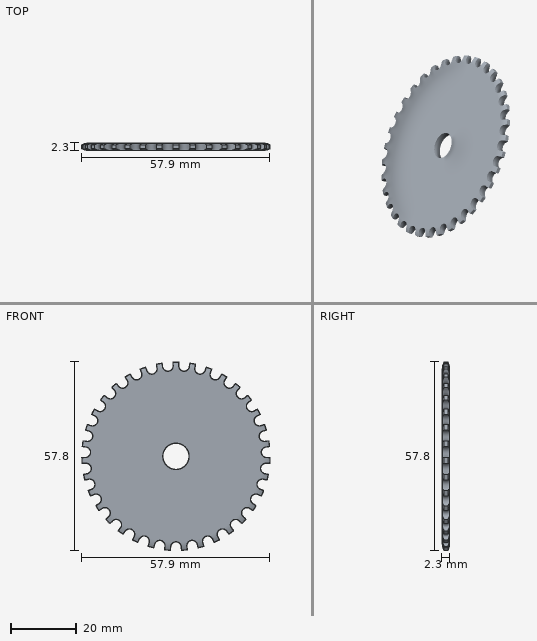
import cadquery as cq
import math


tooth_count = 35
chain_pitch = 5.0
roller_diameter = 3.2
thickness = 2.3
bore_diameter = 8.0
tip_radius = 28.95
flank_radius = 5.0
face_radius = 26.6
tooth_side_radius = 5.0

roller_radius = roller_diameter / 2
half_thickness = thickness / 2
half_tooth_angle = 180 / tooth_count
pitch_radius = chain_pitch / (2 * math.sin(math.radians(half_tooth_angle)))
cutter_overrun = 0.5
cutter_height = tip_radius + cutter_overrun - pitch_radius


def arc_drop(radius, distance):
    """How far an arc falls away from its tangent at a distance along that tangent."""
    return radius - math.sqrt(radius**2 - distance**2)


def make_blank():
    """Toothless disc with bore, revolved from its upper half section."""
    tip_depth = tip_radius - face_radius
    half_tip_width = half_thickness - arc_drop(tooth_side_radius, tip_depth)
    middle_half_width = half_thickness - arc_drop(tooth_side_radius, tip_depth / 2)
    middle_radius = face_radius + tip_depth / 2
    bore_radius = bore_diameter / 2
    return (
        cq.Workplane("YZ")
        .moveTo(-half_thickness, bore_radius)
        .lineTo(-half_thickness, face_radius)
        .threePointArc((-middle_half_width, middle_radius), (-half_tip_width, tip_radius))
        .lineTo(half_tip_width, tip_radius)
        .threePointArc((middle_half_width, middle_radius), (half_thickness, face_radius))
        .lineTo(half_thickness, bore_radius)
        .close()
        .revolve(360, (0, 0), (1, 0))
    )


def make_gap_cutter():
    """Space between two teeth: a roller seat that flares along both flanks."""
    middle_height = pitch_radius + cutter_height / 2
    top_height = pitch_radius + cutter_height
    middle_half_width = roller_radius + arc_drop(flank_radius, cutter_height / 2)
    top_half_width = roller_radius + arc_drop(flank_radius, cutter_height)
    return (
        cq.Workplane("XZ")
        .moveTo(-roller_radius, pitch_radius)
        .threePointArc((0, pitch_radius - roller_radius), (roller_radius, pitch_radius))
        .threePointArc((middle_half_width, middle_height), (top_half_width, top_height))
        .lineTo(-top_half_width, top_height)
        .threePointArc((-middle_half_width, middle_height), (-roller_radius, pitch_radius))
        .close()
        .extrude(thickness, both=True)
    )


def cut_tooth_gaps(blank):
    """Cut every gap, leaving one tooth pointing straight up along +Z."""
    cutter = make_gap_cutter()
    sprocket = blank
    for index in range(tooth_count):
        angle = (2 * index + 1) * half_tooth_angle
        sprocket = sprocket.cut(cutter.rotate((0, 0, 0), (0, 1, 0), angle))
    return sprocket


result = cut_tooth_gaps(make_blank())